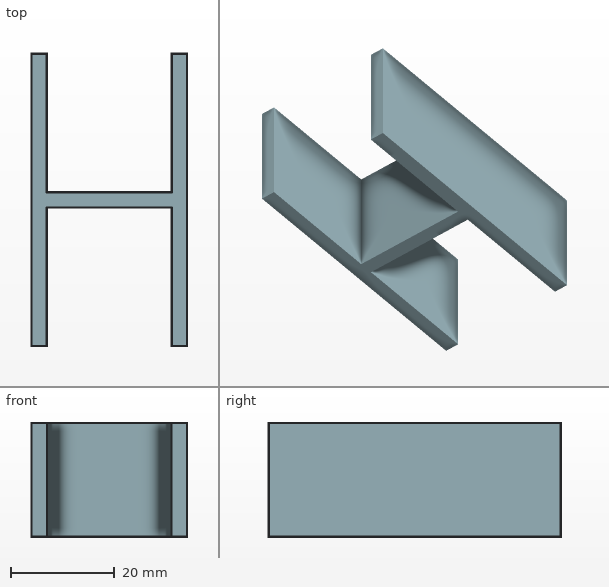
import cadquery as cq

width = 30.0
length = 56.4
height = 22.0
wall = 3.0

flange_offset = (width - wall) / 2

result = cq.Workplane("XY").box(width - wall, wall, height)

for side in (-1, 1):
    flange = cq.Workplane("XY").box(wall, length, height)
    result = result.union(flange.translate((side * flange_offset, 0, 0)))